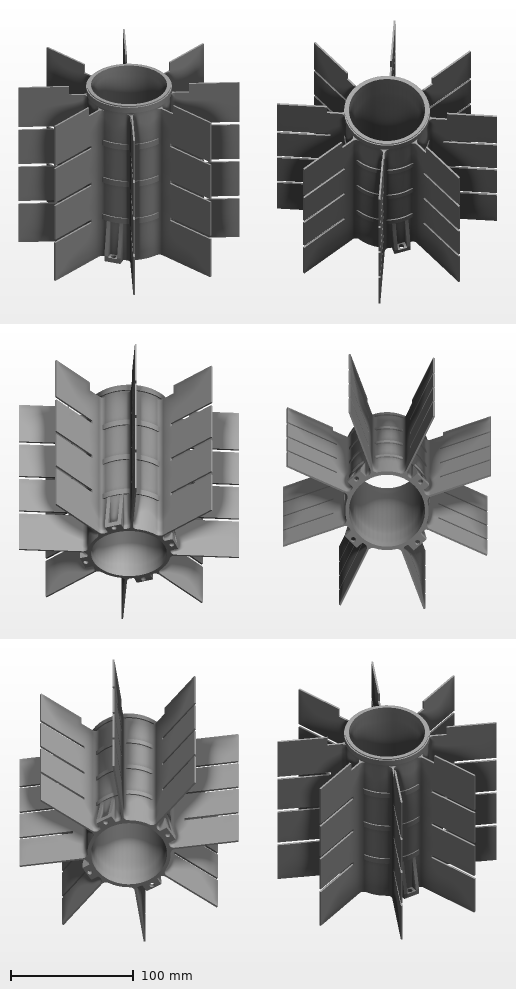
import cadquery as cq

height = 146.0
bore_diameter = 62.0
tube_diameter = 68.0
band_diameter = 70.0
tube_radius = tube_diameter / 2
band_radius = band_diameter / 2

band_height = 5.0
band_pitch = 35.0
band_count = 4

fin_count = 8
fin_start_angle = 180.0 / fin_count
fin_tip_radius = 90.0
fin_thickness = 1.5
fin_root_fillet = 4.0
fin_notch_radius = 49.0
fin_notch_depth = 8.0

slot_levels = 3
slot_height = 3.0
slot_inner_radius = 46.0
slot_offset_above_band = 1.0
first_slot_bottom = band_pitch + slot_offset_above_band

bracket_count = 4
bracket_width = 14.0
bracket_reach = 40.0
bracket_plate_thickness = 4.0
gusset_thickness = 3.0
gusset_toe_height = 5.0
gusset_top = band_pitch
screw_hole_diameter = 4.2
screw_hole_radius = 37.0


def around_axis(shape, count, start_angle=0.0):
    """Copy a shape evenly around the Z axis and join the copies."""
    copies = cq.Workplane("XY")
    for index in range(count):
        angle = start_angle + index * 360.0 / count
        copies = copies.add(shape.rotate((0, 0, 0), (0, 0, 1), angle))
    return copies.combine()


def make_finned_tube():
    """Tube and full-height fins, with filleted fin roots."""
    tube = cq.Workplane("XY").circle(tube_radius).extrude(height)
    fin = cq.Workplane("XY").rect(fin_tip_radius, fin_thickness).extrude(height)
    fin = fin.translate((fin_tip_radius / 2, 0, 0))
    finned_tube = tube.union(around_axis(fin, fin_count, fin_start_angle))
    middle = height / 2
    root_zone = cq.selectors.BoxSelector(
        (-band_radius, -band_radius, middle - 1),
        (band_radius, band_radius, middle + 1),
    )
    return finned_tube.edges("|Z").edges(root_zone).fillet(fin_root_fillet)


def make_fin_notch():
    """Ring of clearance between the top band and the upper part of the fins."""
    return (
        cq.Workplane("XY", origin=(0, 0, height - fin_notch_depth))
        .circle(fin_notch_radius)
        .circle(tube_radius)
        .extrude(fin_notch_depth)
    )


def make_slots():
    """Rings that cut a slot into every fin, one per level."""
    slots = cq.Workplane("XY")
    for level in range(slot_levels):
        slot = (
            cq.Workplane("XY", origin=(0, 0, first_slot_bottom + level * band_pitch))
            .circle(2 * fin_tip_radius)
            .circle(slot_inner_radius)
            .extrude(slot_height)
        )
        slots = slots.add(slot)
    return slots.combine()


def make_bands():
    """Raised bands around the tube, one per level."""
    bands = cq.Workplane("XY")
    for level in range(1, band_count + 1):
        band = (
            cq.Workplane("XY", origin=(0, 0, level * band_pitch))
            .circle(band_radius)
            .extrude(band_height)
        )
        bands = bands.add(band)
    return bands.combine()


def make_bracket():
    """Drilled plate with a tapered gusset along each side, pointing along +X."""
    root = (bore_diameter / 2 + tube_radius) / 2
    plate = (
        cq.Workplane("XY")
        .box(bracket_reach - root, bracket_width, bracket_plate_thickness, centered=(False, True, False))
        .translate((root, 0, 0))
    )
    gusset_profile = [
        (root, 0),
        (bracket_reach, 0),
        (bracket_reach, gusset_toe_height),
        (tube_radius, gusset_top),
        (root, gusset_top),
    ]
    gusset = cq.Workplane("XZ").polyline(gusset_profile).close().extrude(gusset_thickness)
    bracket = (
        plate
        .union(gusset.translate((0, bracket_width / 2, 0)))
        .union(gusset.translate((0, gusset_thickness - bracket_width / 2, 0)))
    )
    hole = (
        cq.Workplane("XY")
        .center(screw_hole_radius, 0)
        .circle(screw_hole_diameter / 2)
        .extrude(gusset_top)
    )
    return bracket.cut(hole)


bore = cq.Workplane("XY").circle(bore_diameter / 2).extrude(height)

result = (
    make_finned_tube()
    .cut(make_fin_notch())
    .cut(make_slots())
    .union(make_bands())
    .union(around_axis(make_bracket(), bracket_count))
    .cut(bore)
)